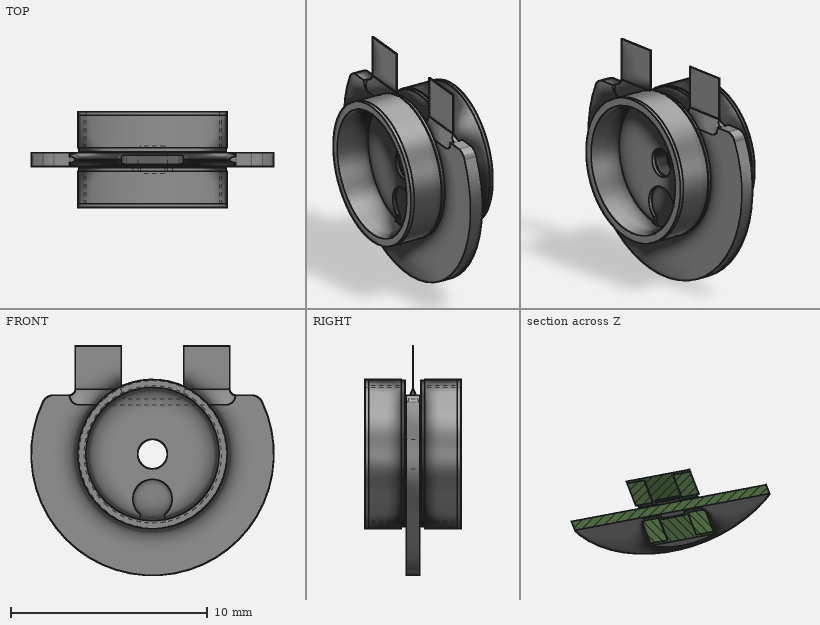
import cadquery as cq
import math

plate_radius = 6.18
plate_thickness = 0.7
plate_top = 3.0
plate_corner_radius = 0.62
bore_diameter = 1.5

tab_inner_x = 1.58
tab_outer_x = 3.93
tab_top = 5.5
tab_thickness = 0.05
tab_root_radius = 0.3
bevel_bottom = 2.51
bevel_top = plate_top + tab_root_radius
bevel_half_width = tab_outer_x + tab_root_radius
bevel_corner_radius = 0.5
notch_floor = 2.8
notch_corner_radius = 0.23

assembly_depth = 4.9
plate_clearance = 0.05
bobbin_start = plate_thickness / 2 + plate_clearance
bobbin_end = assembly_depth / 2
floor_diameter = 7.5
floor_thickness = 0.2
sleeve_inner_diameter = 6.79
sleeve_outer_diameter = 7.0
rim_diameter = 7.6
rim_thickness = 0.2
coil_start = bobbin_start + floor_thickness
coil_end = bobbin_end - rim_thickness

keyhole_diameter = 2.0
keyhole_z = -2.29
keyhole_slot_width = 1.22
sleeve_notch_depth = 0.1


def disc(diameter, y_start, y_end):
    """Solid cylinder about the Y axis."""
    return (
        cq.Workplane("XZ", origin=(0, y_start, 0))
        .circle(diameter / 2)
        .extrude(y_start - y_end)
    )


def block(x_min, x_max, z_min, z_max, thickness):
    """Box centred on Y = 0."""
    return cq.Workplane("XY").box(x_max - x_min, thickness, z_max - z_min).translate(
        ((x_min + x_max) / 2, 0, (z_min + z_max) / 2)
    )


def flat_topped_disc():
    """Plate disc with its flat top edge and rounded upper corners."""
    round_z = plate_top - plate_corner_radius
    round_reach = plate_radius - plate_corner_radius
    round_x = math.sqrt(round_reach**2 - round_z**2)
    tangent_scale = plate_radius / round_reach
    tangent_x = round_x * tangent_scale
    tangent_z = round_z * tangent_scale
    return (
        cq.Workplane("XZ", origin=(0, plate_thickness / 2, 0))
        .moveTo(-round_x, plate_top)
        .lineTo(round_x, plate_top)
        .radiusArc((tangent_x, tangent_z), plate_corner_radius)
        .threePointArc((0, -plate_radius), (-tangent_x, tangent_z))
        .radiusArc((-round_x, plate_top), plate_corner_radius)
        .close()
        .extrude(plate_thickness)
    )


def tab_blank():
    """Full-thickness block for both tabs, with concave roots on the outer sides."""
    return (
        cq.Workplane("XZ", origin=(0, plate_thickness / 2, 0))
        .moveTo(-bevel_half_width, plate_top)
        .radiusArc((-tab_outer_x, bevel_top), -tab_root_radius)
        .lineTo(-tab_outer_x, tab_top)
        .lineTo(tab_outer_x, tab_top)
        .lineTo(tab_outer_x, bevel_top)
        .radiusArc((bevel_half_width, plate_top), -tab_root_radius)
        .lineTo(bevel_half_width, bevel_bottom)
        .lineTo(-bevel_half_width, bevel_bottom)
        .close()
        .extrude(plate_thickness)
    )


def tab_notch():
    """Gap between the tabs, with rounded lower corners."""
    notch_top = tab_top + notch_corner_radius
    notch = block(-tab_inner_x, tab_inner_x, notch_floor, notch_top, plate_thickness)
    return notch.edges("|Y and <Z").fillet(notch_corner_radius)


def bevel_waste():
    """Material removed on both faces to leave the bevels and the thin tabs."""
    waste_top = tab_top + bevel_corner_radius
    zone = block(-bevel_half_width, bevel_half_width, bevel_bottom, waste_top, plate_thickness)
    zone = zone.edges("|Y and <Z").fillet(bevel_corner_radius)
    blade = (
        cq.Workplane("YZ", origin=(-bevel_half_width, 0, 0))
        .moveTo(-plate_thickness / 2, bevel_bottom)
        .lineTo(-tab_thickness / 2, bevel_top)
        .lineTo(-tab_thickness / 2, waste_top)
        .lineTo(tab_thickness / 2, waste_top)
        .lineTo(tab_thickness / 2, bevel_top)
        .lineTo(plate_thickness / 2, bevel_bottom)
        .close()
        .extrude(2 * bevel_half_width)
    )
    return zone.cut(blade)


def make_plate():
    bore = disc(bore_diameter, -plate_thickness / 2, plate_thickness / 2)
    plate = flat_topped_disc().union(tab_blank())
    return plate.cut(tab_notch()).cut(bevel_waste()).cut(bore)


def keyhole():
    """Round hole with a slot open at the floor edge and notching the sleeve."""
    slot_depth = floor_thickness + sleeve_notch_depth
    slot = (
        block(
            -keyhole_slot_width / 2, keyhole_slot_width / 2,
            -floor_diameter / 2, keyhole_z, slot_depth,
        )
        .translate((0, bobbin_start + slot_depth / 2, 0))
    )
    return disc(keyhole_diameter, bobbin_start, coil_start).translate((0, 0, keyhole_z)).union(slot)


def make_bobbin():
    """Bobbin on the +Y side: a floor, a thin sleeve and a rim."""
    floor = disc(floor_diameter, bobbin_start, coil_start)
    sleeve = disc(sleeve_outer_diameter, coil_start, bobbin_end)
    rim = disc(rim_diameter, coil_end, bobbin_end)
    cavity = disc(sleeve_inner_diameter, coil_start, bobbin_end)
    bore = disc(bore_diameter, bobbin_start, coil_start)
    return floor.union(sleeve).union(rim).cut(cavity).cut(bore).cut(keyhole())


def make_coil():
    """Coil on the +Y side, filling the bobbin between its floor and rim."""
    return disc(rim_diameter, coil_start, coil_end).cut(
        disc(sleeve_outer_diameter, coil_start, coil_end)
    )


bodies = [make_plate().val()]
for make_body in (make_bobbin, make_coil):
    body = make_body()
    bodies.append(body.val())
    bodies.append(body.mirror("XZ").val())
result = cq.Compound.makeCompound(bodies)